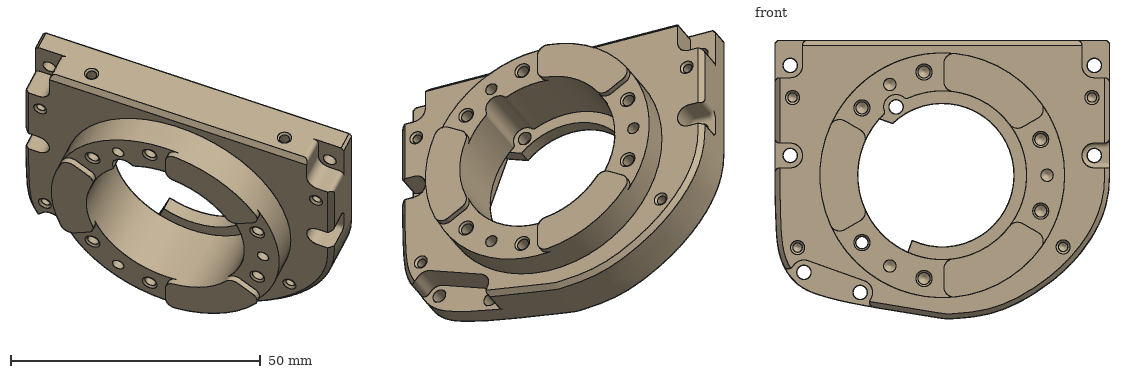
import cadquery as cq
import math


HALF_WIDTH = 33.5
TOP_EDGE = 27.0
BOTTOM_EDGE = -28.75
PLATE_DEPTH = 10.0
EDGE_CHAMFER = 1.0
TOP_CORNER_CHAMFER = 0.6

LOWER_JOINT = (-1.2, -28.5)
LOWER_SLOPE = (-0.99, 0.16)
RIGHT_CURVE = [
    (HALF_WIDTH, 0),
    (32.6, -6.4),
    (27.2, -16.15),
    (17.5, -24.25),
    (6.7, -28.3),
    (1.7, BOTTOM_EDGE),
    LOWER_JOINT,
]
LEFT_CURVE = [
    LOWER_JOINT,
    (-8.7, -27.3),
    (-16.1, -26.0),
    (-23.45, -24.3),
    (-28.8, -21.9),
    (-32.2, -16.95),
    (-33.3, -9.4),
    (-HALF_WIDTH, 0),
]

RING_DIAMETER = 49.0
BORE_RADIUS = 16.9
LIP_RADIUS = 14.35
LIP_DEPTH = 3.0
RING_DEPTH = 15.95
PAD_TOP = 17.2
GAP_SIDE_OFFSET = 0.35
PAD_CORNER_RADIUS = 2.0
GAP_ANGLES = (0, 120, 240)
GAP_HALF_SPAN = 30

MOUNT_HOLE_DIAMETER = 2.8
MOUNT_FLOOR = 4.0
POCKET_RADIUS = 2.5
FLARE_RADIUS = 1.0
FLOOR_FILLET = 1.0
MOUNT_X = 30.4
UPPER_MOUNT_Z = 22.0
MIDDLE_MOUNT_Z = 3.95
LOWER_MOUNTS = [(-27.7, -19.4), (-16.4, -23.45)]
LOWER_LEFT_TANGENT = 138
LOWER_RIGHT_TANGENT = -30
LOWER_MOUTHS = [(-31.2, -19.5), (-15.35, -26.2)]
LIP_FLARE_RADIUS = 0.7
LIP_MOUNT = (-9.25, 13.7)

THREAD_SINK_DIAMETER = 2.8
FACE_THREAD_DIAMETER = 1.9
TOP_THREAD_DIAMETER = 2.0
THREAD_HOLE_DEPTH = 5.35
FACE_THREADS = [(-29.95, 15.55), (29.95, 15.55), (-28.95, -14.5), (24.2, -14.35)]
TOP_THREAD_X = (-20.45, 21.45)
TOP_THREAD_DEPTH_POSITION = 6.0
RING_HOLE_RADIUS = 21.0
RING_SCREW_DIAMETER = 2.4
RING_SINK_DIAMETER = 3.2
RING_SCREW_DEPTH = 9.4
RING_SCREW_OFFSET = 20
PIN_DIAMETER = 2.5
PIN_DEPTH = 4.0
THROUGH_SCREW_ANGLE = 220
PIN_ANGLES = GAP_ANGLES
DRILL_POINT_ANGLE = 118

RECESS_ANGLE = -20
RECESS_RIGHT = -1.2
RECESS_LEFT = -17.7
RECESS_TOP = 6.3
RECESS_BOTTOM = -21.45
NOTCH_RIGHT = -8.9
NOTCH_DEPTH = 2.0
NOTCH_INSET = 0.35

MARGIN = 6.7


def plane_at(depth):
    """Workplane parallel to the plate at a depth in front of the back face; local axes are X and Z."""
    return cq.Workplane("XZ", origin=(0, -depth, 0))


def polar(radius, angle):
    return (radius * math.cos(math.radians(angle)), radius * math.sin(math.radians(angle)))


def shifted(point, distance, angle):
    step = polar(distance, angle)
    return (point[0] + step[0], point[1] + step[1])


def unit_between(start, end):
    length = math.dist(start, end)
    return ((end[0] - start[0]) / length, (end[1] - start[1]) / length)


def plate_block():
    c = TOP_CORNER_CHAMFER
    return (
        plane_at(0)
        .moveTo(-HALF_WIDTH, 0)
        .lineTo(-HALF_WIDTH, TOP_EDGE - c)
        .lineTo(-HALF_WIDTH + c, TOP_EDGE)
        .lineTo(HALF_WIDTH - c, TOP_EDGE)
        .lineTo(HALF_WIDTH, TOP_EDGE - c)
        .lineTo(HALF_WIDTH, 0)
        .spline(RIGHT_CURVE[1:], tangents=[(0, -1), LOWER_SLOPE], includeCurrent=True)
        .spline(LEFT_CURVE[1:], tangents=[LOWER_SLOPE, (0, 1)], includeCurrent=True)
        .close()
        .extrude(PLATE_DEPTH)
    )


def circles(points, radius, bottom, top):
    """Cylinders along the depth direction, one at each point."""
    return plane_at(bottom).pushPoints(points).circle(radius).extrude(top - bottom)


def box_between(left, right, low, high, bottom, top):
    """Block between two X positions, two Z positions and two depths."""
    return (
        plane_at(bottom)
        .center((left + right) / 2, (low + high) / 2)
        .rect(right - left, high - low)
        .extrude(top - bottom)
    )


def side_slot(side, z, top):
    """Round-ended slot from a mounting hole out through the left (-1) or right (1) edge."""
    inner = side * MOUNT_X
    outer = side * (HALF_WIDTH + MARGIN)
    slot = box_between(
        min(inner, outer), max(inner, outer), z - POCKET_RADIUS, z + POCKET_RADIUS, MOUNT_FLOOR, top
    )
    return slot.union(circles([(inner, z)], POCKET_RADIUS, MOUNT_FLOOR, top))


def corner_pocket(side, top):
    """Slot of an upper mounting hole, opened upwards as well."""
    edge = side * (MOUNT_X - POCKET_RADIUS)
    outer = side * (HALF_WIDTH + MARGIN)
    opening = box_between(
        min(edge, outer), max(edge, outer), UPPER_MOUNT_Z, TOP_EDGE + MARGIN, MOUNT_FLOOR, top
    )
    return opening.union(side_slot(side, UPPER_MOUNT_Z, top))


def lower_pocket(top):
    """Round-cornered pocket over the two lower mounting holes, open to the outline."""
    first, second = LOWER_MOUNTS
    along = unit_between(first, second)
    upwards = math.degrees(math.atan2(along[1], along[0])) + 90

    def rim(center, angle):
        return shifted(center, POCKET_RADIUS, angle)

    left_edge = rim(first, LOWER_LEFT_TANGENT)
    right_edge = rim(second, LOWER_RIGHT_TANGENT)
    between = (
        plane_at(MOUNT_FLOOR)
        .polyline(
            [
                rim(first, upwards),
                left_edge,
                shifted(left_edge, MARGIN, LOWER_LEFT_TANGENT + 90),
                shifted(right_edge, MARGIN, LOWER_RIGHT_TANGENT - 90),
                right_edge,
                rim(second, upwards),
            ]
        )
        .close()
        .extrude(top - MOUNT_FLOOR)
    )
    return between.union(circles(LOWER_MOUNTS, POCKET_RADIUS, MOUNT_FLOOR, top))


def fillet_edge_near(body, x, z, bottom, top, radius):
    """Round the edge along the depth direction that runs from bottom to top closest to (x, z)."""
    middle = (x, -(bottom + top) / 2, z)
    return body.edges(cq.selectors.NearestToPointSelector(middle)).fillet(radius)


def front_layer():
    """Plate with its pockets; the pocket mouths are rounded and one pocket has a filleted floor."""
    layer = plate_block()
    for side in (-1, 1):
        layer = layer.cut(corner_pocket(side, PLATE_DEPTH))
        layer = layer.cut(side_slot(side, MIDDLE_MOUNT_Z, PLATE_DEPTH))
    layer = layer.cut(lower_pocket(PLATE_DEPTH))

    mouths = [(-HALF_WIDTH, MIDDLE_MOUNT_Z - POCKET_RADIUS), *LOWER_MOUTHS]
    for side in (-1, 1):
        mouths.append((side * (MOUNT_X - POCKET_RADIUS), TOP_EDGE))
        mouths.append((side * HALF_WIDTH, UPPER_MOUNT_Z - POCKET_RADIUS))
        mouths.append((side * HALF_WIDTH, MIDDLE_MOUNT_Z + POCKET_RADIUS))
    for x, z in mouths:
        layer = fillet_edge_near(layer, x, z, MOUNT_FLOOR, PLATE_DEPTH, FLARE_RADIUS)

    floor_end = (MOUNT_X - POCKET_RADIUS, -MOUNT_FLOOR, MIDDLE_MOUNT_Z)
    return layer.edges(cq.selectors.NearestToPointSelector(floor_end)).fillet(FLOOR_FILLET)


def pad_gap(angle):
    """Wedge between two pads, wider than the radial lines that bound it by a constant offset."""
    half = math.radians(GAP_HALF_SPAN)
    apex = -GAP_SIDE_OFFSET / math.sin(half)
    reach = RING_DIAMETER
    spread = (reach - apex) * math.tan(half)
    wedge = (
        plane_at(RING_DEPTH)
        .polyline([(apex, 0), (reach, spread), (reach, -spread)])
        .close()
        .extrude(PAD_TOP - RING_DEPTH)
    )
    return wedge.rotate((0, 0, 0), (0, 1, 0), -angle)


def ring_with_bore(plate):
    """Add the ring with its pads to the plate and bore both, leaving a lip at the back."""
    body = plate.union(circles([(0, 0)], RING_DIAMETER / 2, 0, PAD_TOP))
    body = body.cut(circles([(0, 0)], LIP_RADIUS, 0, PAD_TOP))
    body = body.cut(circles([(0, 0)], BORE_RADIUS, LIP_DEPTH, PAD_TOP))

    for angle in GAP_ANGLES:
        body = body.cut(pad_gap(angle))
    for angle in GAP_ANGLES:
        for radius in (BORE_RADIUS, RING_DIAMETER / 2):
            half = GAP_HALF_SPAN + math.degrees(math.asin(GAP_SIDE_OFFSET / radius))
            for side in (-1, 1):
                x, z = polar(radius, angle + side * half)
                body = fillet_edge_near(body, x, z, RING_DEPTH, PAD_TOP, PAD_CORNER_RADIUS)

    body = body.cut(circles([LIP_MOUNT], POCKET_RADIUS, LIP_DEPTH, RING_DEPTH))
    distance = math.hypot(*LIP_MOUNT)
    direction = math.degrees(math.atan2(LIP_MOUNT[1], LIP_MOUNT[0]))
    cosine = (BORE_RADIUS**2 + distance**2 - POCKET_RADIUS**2) / (2 * BORE_RADIUS * distance)
    spread = math.degrees(math.acos(cosine))
    for angle in (direction - spread, direction + spread):
        body = fillet_edge_near(body, *polar(BORE_RADIUS, angle), LIP_DEPTH, RING_DEPTH, LIP_FLARE_RADIUS)
    return body


def back_recess():
    """Turned rectangular recess through the lip, open to the bore."""
    recess = box_between(RECESS_LEFT, RECESS_RIGHT, RECESS_BOTTOM, RECESS_TOP, 0, LIP_DEPTH)
    return recess.rotate((0, 0, 0), (0, 1, 0), -RECESS_ANGLE)


def edge_notch():
    """Shallow notch in the lower edge at the back, following the outline below the recess."""
    reach = box_between(RECESS_LEFT, NOTCH_RIGHT, BOTTOM_EDGE - MARGIN, RECESS_BOTTOM, 0, NOTCH_DEPTH)
    reach = reach.rotate((0, 0, 0), (0, 1, 0), -RECESS_ANGLE)
    core = plate_block().faces(">Y").wires().toPending().offset2D(-NOTCH_INSET).extrude(-NOTCH_DEPTH)
    return reach.cut(core)


def drill(diameter, depth, sink_diameter=None):
    """Drilled hole with a pointed end, entering at the origin and running towards +Y."""
    radius = diameter / 2
    mouth = (sink_diameter or diameter) / 2
    tip = depth + radius / math.tan(math.radians(DRILL_POINT_ANGLE / 2))
    profile = [(0, 0), (mouth, 0)]
    if sink_diameter:
        profile.append((radius, mouth - radius))
    profile += [(radius, depth), (0, tip)]
    return cq.Workplane("XY").polyline(profile).close().revolve(360, (0, 0, 0), (0, 1, 0))


def drill_front(body, points, face_depth, tool):
    for x, z in points:
        body = body.cut(tool.translate((x, -face_depth, z)))
    return body


def mounting_holes(body):
    points = [LIP_MOUNT, *LOWER_MOUNTS]
    for z in (UPPER_MOUNT_Z, MIDDLE_MOUNT_Z):
        points += [(-MOUNT_X, z), (MOUNT_X, z)]
    return body.cut(circles(points, MOUNT_HOLE_DIAMETER / 2, 0, MOUNT_FLOOR))


def ring_holes(body):
    """Three pin holes, each between two countersunk screw holes; one of these opens into the recess."""
    pins = [polar(RING_HOLE_RADIUS, angle) for angle in PIN_ANGLES]
    body = drill_front(body, pins, RING_DEPTH, drill(PIN_DIAMETER, PIN_DEPTH))
    for pin_angle in PIN_ANGLES:
        for offset in (-RING_SCREW_OFFSET, RING_SCREW_OFFSET):
            angle = pin_angle + offset
            depth = RING_DEPTH if angle == THROUGH_SCREW_ANGLE else RING_SCREW_DEPTH
            tool = drill(RING_SCREW_DIAMETER, depth, RING_SINK_DIAMETER)
            body = drill_front(body, [polar(RING_HOLE_RADIUS, angle)], RING_DEPTH, tool)
    return body


def threaded_holes(body):
    face_tool = drill(FACE_THREAD_DIAMETER, THREAD_HOLE_DEPTH, THREAD_SINK_DIAMETER)
    body = drill_front(body, FACE_THREADS, PLATE_DEPTH, face_tool)
    top_tool = drill(TOP_THREAD_DIAMETER, THREAD_HOLE_DEPTH, THREAD_SINK_DIAMETER)
    top_tool = top_tool.rotate((0, 0, 0), (1, 0, 0), -90)
    for x in TOP_THREAD_X:
        body = body.cut(top_tool.translate((x, -TOP_THREAD_DEPTH_POSITION, TOP_EDGE)))
    return body


plate = front_layer().intersect(plate_block().faces("<Y").chamfer(EDGE_CHAMFER))
result = ring_with_bore(plate).cut(back_recess()).cut(edge_notch())
result = mounting_holes(result)
result = ring_holes(result)
result = threaded_holes(result)